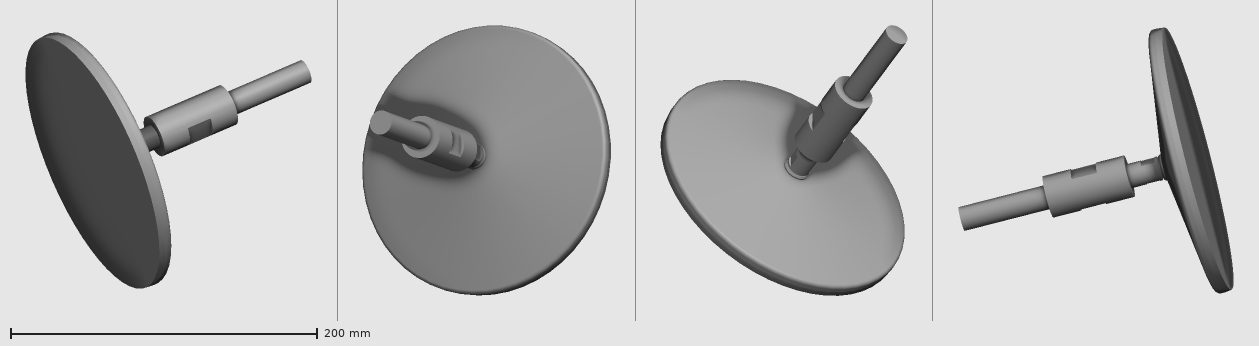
import cadquery as cq
import math


foot_diameter = 178.0
total_length = 160.0

rim_taper_inset = 0.5
rim_taper_height = 4.3
rim_height = 7.1
shoulder_radius = 2.7
cone_top_height = 22.8
lip_diameter = 17.5
lip_straight_height = 0.9
lip_height = 2.0
socket_depth = 7.1

rod_diameter = 16.0
neck_diameter = 13.0
neck_gap = 0.5
rod_end_chamfer = 0.5
spindle_flat_width = 13.0
spindle_flat_start = 27.5
spindle_flat_length = 9.3

sleeve_diameter = 28.0
sleeve_start = 46.5
sleeve_length = 55.0
sleeve_flat_width = 22.0
sleeve_flat_length = 17.0

foot_radius = foot_diameter / 2
floor_y = -total_length / 2
lip_top = cone_top_height + lip_height
socket_floor = lip_top - socket_depth
rod_start = lip_top + neck_gap
sleeve_flat_start = sleeve_start + (sleeve_length - sleeve_flat_length) / 2


def cylinder(diameter, start, length):
    """Cylinder about the Y axis, starting at a height above the floor face."""
    origin = cq.Vector(0, floor_y + start, 0)
    return cq.Workplane(cq.Solid.makeCylinder(diameter / 2, length, origin, cq.Vector(0, 1, 0)))


def cut_wrench_flats(body, diameter, across_flats, start, length):
    """Cut a pair of opposite flats, facing -X and +X, into a round body."""
    for side in (-1, 1):
        cutter = cq.Workplane().box(diameter, length, diameter).translate(
            (side * (across_flats + diameter) / 2, floor_y + start + length / 2, 0)
        )
        body = body.cut(cutter)
    return body


def make_foot():
    lip_radius = lip_diameter / 2
    shoulder_center_r = foot_radius - shoulder_radius

    run = shoulder_center_r - lip_radius
    rise = cone_top_height - rim_height
    cone_angle = math.atan2(rise, run) - math.asin(shoulder_radius / math.hypot(run, rise))
    tangent_angle = math.pi / 2 - cone_angle

    def shoulder_point(angle):
        r = shoulder_center_r + shoulder_radius * math.cos(angle)
        return (r, floor_y + rim_height + shoulder_radius * math.sin(angle))

    foot = (
        cq.Workplane("XY")
        .moveTo(0, floor_y)
        .lineTo(foot_radius - rim_taper_inset, floor_y)
        .lineTo(foot_radius, floor_y + rim_taper_height)
        .lineTo(foot_radius, floor_y + rim_height)
        .threePointArc(shoulder_point(tangent_angle / 2), shoulder_point(tangent_angle))
        .lineTo(lip_radius, floor_y + cone_top_height)
        .lineTo(lip_radius, floor_y + cone_top_height + lip_straight_height)
        .lineTo(rod_diameter / 2, floor_y + lip_top)
        .lineTo(0, floor_y + lip_top)
        .close()
        .revolve(360, (0, 0, 0), (0, 1, 0))
    )
    return foot.cut(cylinder(neck_diameter, socket_floor, socket_depth))


def make_spindle():
    neck = cylinder(neck_diameter, socket_floor, rod_start - socket_floor)
    rod = cylinder(rod_diameter, rod_start, total_length - rod_start)
    bevel_width = (rod_diameter - neck_diameter) / 2
    rod = rod.faces("<Y").chamfer(rod_end_chamfer, bevel_width)
    return cut_wrench_flats(
        neck.union(rod), rod_diameter, spindle_flat_width, spindle_flat_start, spindle_flat_length
    )


def make_sleeve():
    sleeve = cut_wrench_flats(
        cylinder(sleeve_diameter, sleeve_start, sleeve_length),
        sleeve_diameter, sleeve_flat_width, sleeve_flat_start, sleeve_flat_length,
    )
    return sleeve.cut(cylinder(rod_diameter, sleeve_start, sleeve_length))


foot = make_foot()
spindle = make_spindle()
sleeve = make_sleeve()

result = cq.Compound.makeCompound([foot.val(), spindle.val(), sleeve.val()])